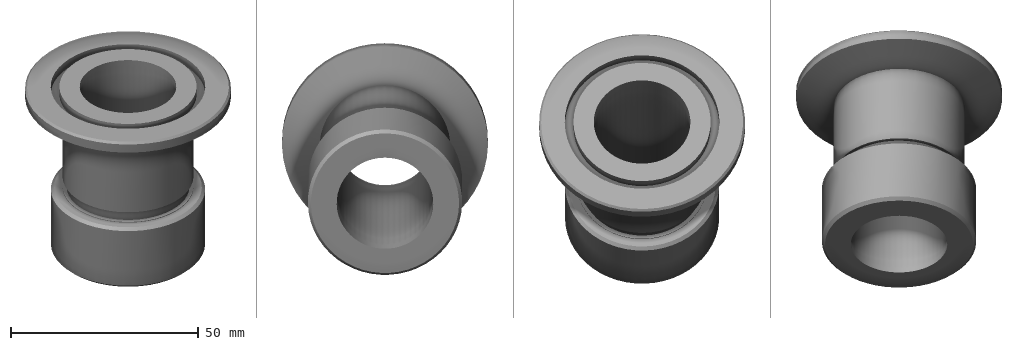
import cadquery as cq

total_height = 50.9
bore_diameter = 25.8

flange_diameter = 55.0
flange_rim_height = 3.15
flange_cone_height = 2.65
flange_chamfer = 0.55

groove_outer_diameter = 41.3
groove_inner_diameter = 36.6
groove_depth = 2.6

sleeve_diameter = 34.9
sleeve_bottom = 22.2
neck_diameter = 32.9

collar_diameter = 41.2
collar_height = 18.9
collar_top_chamfer_height = 0.65
collar_top_chamfer_width = 0.9
collar_bottom_chamfer_height = 0.8
collar_bottom_chamfer_width = 0.8
ring_diameter = sleeve_diameter
ring_height = 0.2


def cylinder(diameter, bottom, top):
    """Vertical cylinder on the Z axis between two levels."""
    return cq.Workplane("XY").workplane(offset=bottom).circle(diameter / 2).extrude(top - bottom)


def make_collar():
    """Collar with chamfered outer edges and its raised ring."""
    collar = cylinder(collar_diameter, 0, collar_height)
    collar = collar.faces(">Z").edges().chamfer(collar_top_chamfer_height, collar_top_chamfer_width)
    collar = collar.faces("<Z").edges().chamfer(collar_bottom_chamfer_height, collar_bottom_chamfer_width)
    return collar.union(cylinder(ring_diameter, 0, collar_height + ring_height))


def make_flange():
    """Flange rim above a cone that narrows to the sleeve."""
    rim_radius = flange_diameter / 2
    sleeve_radius = sleeve_diameter / 2
    rim_bottom = total_height - flange_rim_height
    cone_bottom = rim_bottom - flange_cone_height
    profile = (
        cq.Workplane("XZ")
        .moveTo(0, cone_bottom)
        .lineTo(sleeve_radius, cone_bottom)
        .lineTo(rim_radius, rim_bottom)
        .lineTo(rim_radius, total_height - flange_chamfer)
        .lineTo(rim_radius - flange_chamfer, total_height)
        .lineTo(0, total_height)
        .close()
    )
    return profile.revolve(360, (0, 0, 0), (0, 1, 0))


def make_seal_groove():
    """Ring-shaped cutter for the groove in the flange face."""
    floor = total_height - groove_depth
    outer = cylinder(groove_outer_diameter, floor, total_height)
    return outer.cut(cylinder(groove_inner_diameter, floor, total_height))


neck = cylinder(neck_diameter, 0, sleeve_bottom)
sleeve = cylinder(sleeve_diameter, sleeve_bottom, total_height - flange_rim_height)
body = make_collar().union(neck).union(sleeve).union(make_flange())
bore = cylinder(bore_diameter, 0, total_height)
result = body.cut(make_seal_groove()).cut(bore)